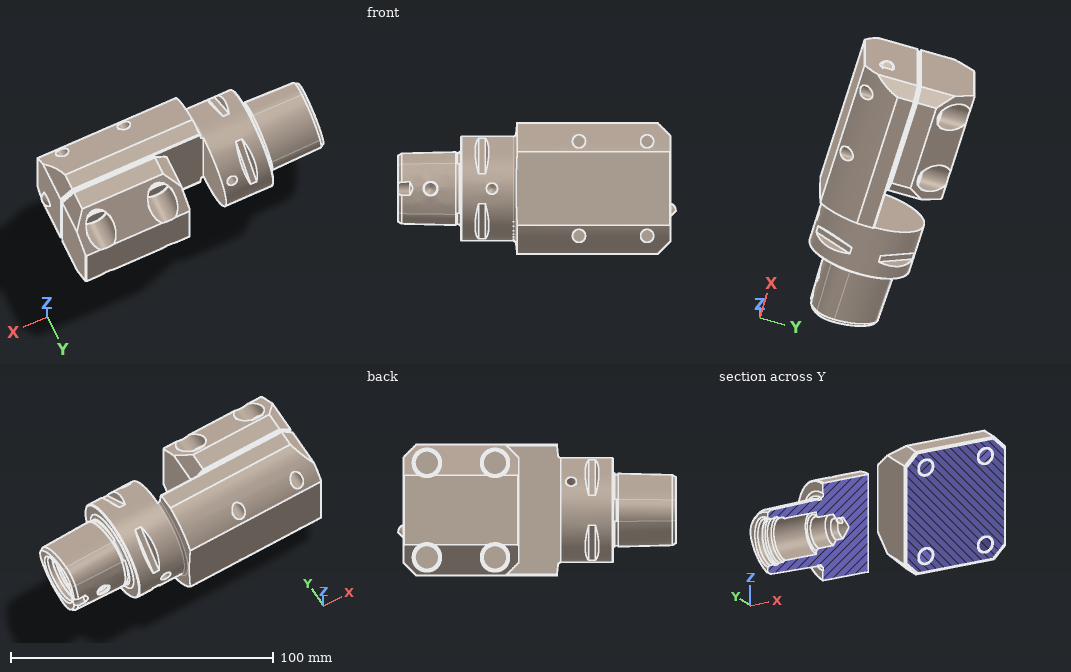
import cadquery as cq
import math

TOTAL_LENGTH = 106.0
WIDTH = 44.0
HEIGHT = 50.0
SHANK_LENGTH = 24.0
HALF_WIDTH = WIDTH / 2
HALF_HEIGHT = HEIGHT / 2
NOZZLE_TIP_X = TOTAL_LENGTH - SHANK_LENGTH

LOBE_RADIUS = 14.0
LOBE_AMPLITUDE = 0.9
SHANK_TAPER = 0.025
SHANK_BASE_GAP = 1.9
SHANK_NOSE = 1.4
SHANK_NOSE_INSET = 0.8
LOBE_SPACING = math.radians(120)
LOBE_ARC_ANGLE = math.radians(28)

UNDERCUT_INSET = 0.3
UNDERCUT_END = 0.6
RELIEF_CONE_LENGTH = 0.6
NECK_RADIUS = 14.0
NECK_FILLET = 1.1
RELIEF_RADIUS = 15.8

FLANGE_RADIUS = 40.0 / 2
FLANGE_LENGTH = 20.0
FLANGE_CHAMFER = 0.3
GRIP_X = 8.1
GRIP_FLOOR_RADIUS = 17.6
GRIP_FLOOR_WIDTH = 2.5
GRIP_MOUTH_WIDTH = 5.3
GRIP_ANGLES = (45, 135, 225, 315)

BODY_RADIUS = 26.1
BODY_START_X = 15.9
BODY_END_X = 80.0
COLLAR_FILLET = 1.0
COLLAR_X = 21.0
BODY_FACE_X = 21.5
END_CHAMFER = 5.0
EDGE_CHAMFER = 0.3

LAND_INSET = 0.5
HOLDER_LAND_Y = -0.5
HOLDER_LAND_HEIGHT = 0.3
CLAMP_LAND_Y = -0.1
CLAMP_LAND_HEIGHT = 0.6

CLAMP_START_X = 36.0
CLAMP_FLAT_HEIGHT = 26.5
CLAMP_SLOPE_Y = 8.1
CLAMP_EDGE_CHAMFER = 0.4

SCREW_FIRST_X = 45.0
SCREW_PITCH_X = 26.0
SCREW_Z = 18.0
SCREW_POSITIONS = [(SCREW_FIRST_X + i * SCREW_PITCH_X, side * SCREW_Z) for i in (0, 1) for side in (-1, 1)]
SCREW_DIAMETER = 6.0
SCREW_HEAD_DIAMETER = 10.0
SCREW_HEAD_HEIGHT = 6.0
SCREW_HEAD_TOP_Y = 10.8
SCREW_HEAD_CHAMFER = 0.4
SCREW_TIP_Y = -11.2
SCREW_HEAD_BASE_Y = SCREW_HEAD_TOP_Y - SCREW_HEAD_HEIGHT
COUNTERBORE_DIAMETER = 11.0
CLEARANCE_DIAMETER = 6.6
TAPPING_DIAMETER = 5.0

DRILL_HALF_ANGLE = math.radians(59)

MOUTH_RADIUS = 20.0 / 2
MOUTH_DEPTH = 1.0
ENTRY_RADIUS = 18.7 / 2
ENTRY_DEPTH = 3.0
GROOVE_RADIUS = 9.6
GROOVE_END = 4.2
LAND_RADIUS = 18.0 / 2
LAND_START = 4.9
LAND_END = 6.6
MAIN_RADIUS = 8.5
MAIN_START = 7.4
MAIN_DEPTH = 21.2
INNER_RADIUS = 12.5 / 2
INNER_CHAMFER = 1.0
INNER_DEPTH = 28.6
CORE_RADIUS = 8.5 / 2
CORE_DEPTH = 32.9

NOTCH_DIAMETER = 5.5
NOTCH_AXIS_Y = -13.6
NOTCH_DEPTH = 4.5
SHANK_HOLE_X = -11.6
SHANK_HOLE_DIAMETER = 5.0
SHANK_HOLE_BOTTOM_Y = -11.1
SHANK_HOLE_MOUTH_Y = -12.8
SHANK_HOLE_MOUTH_DIAMETER = 5.5
SHANK_HOLE_MOUTH_DEPTH = 0.5
FLANGE_HOLE_X = 11.9
FLANGE_HOLE_DIAMETER = 4.2
FLANGE_HOLE_BOTTOM_Y = -17.5

NOZZLE_RADIUS = 6.0 / 2
NOZZLE_Y = -13.0
NOZZLE_Z = -8.5
CHANNEL_DIAMETER = 2.5
CHANNEL_START_RADIUS = 3.4
CHANNEL_SLOPE = math.tan(math.radians(33))
OUTLET_X = 16.0
OUTLET_DIAMETER = 4.0
NOZZLE_REACH = math.hypot(NOZZLE_Y, NOZZLE_Z)
OUTLET_DIRECTION = cq.Vector(0, -NOZZLE_Y / NOZZLE_REACH, -NOZZLE_Z / NOZZLE_REACH)


def revolve_about_x(points):
    """Turn a closed outline of (x, radius) points about the X axis."""
    return cq.Workplane("XY").polyline(points).close().revolve(360, (0, 0, 0), (1, 0, 0))


def cylinder(start, end, diameter):
    axis = end - start
    return cq.Workplane(cq.Solid.makeCylinder(diameter / 2, axis.Length, start, axis))


def drill(start, end, diameter):
    """A round hole from start to end, followed by a conical drill point."""
    axis = end - start
    tip_length = diameter / 2 / math.tan(DRILL_HALF_ANGLE)
    tip = cq.Solid.makeCone(diameter / 2, 0, tip_length, end, axis)
    return cylinder(start, end, diameter).union(cq.Workplane(tip))


def lobe_point(angle, mean_radius):
    """Point of the constant-width three-lobed outline whose normal has this angle from +Y."""
    reach = mean_radius + LOBE_AMPLITUDE * math.cos(3 * angle)
    drift = -3 * LOBE_AMPLITUDE * math.sin(3 * angle)
    return (
        reach * math.cos(angle) - drift * math.sin(angle),
        reach * math.sin(angle) + drift * math.cos(angle),
    )


def lobe_wire(x, mean_radius):
    """Three tight arcs over the lobes and three wide arcs over the flanks between them."""
    outline = cq.Workplane("YZ", origin=(x, 0, 0)).moveTo(*lobe_point(-LOBE_ARC_ANGLE, mean_radius))
    for lobe in (0, 1, 2):
        lobe_axis = lobe * LOBE_SPACING
        outline = outline.threePointArc(
            lobe_point(lobe_axis, mean_radius),
            lobe_point(lobe_axis + LOBE_ARC_ANGLE, mean_radius),
        ).threePointArc(
            lobe_point(lobe_axis + LOBE_SPACING / 2, mean_radius),
            lobe_point(lobe_axis + LOBE_SPACING - LOBE_ARC_ANGLE, mean_radius),
        )
    return outline.close().val()


def make_shank():
    base_x = -SHANK_BASE_GAP
    nose_x = SHANK_NOSE - SHANK_LENGTH
    nose_radius = LOBE_RADIUS - SHANK_TAPER * (base_x - nose_x)
    base = lobe_wire(base_x, LOBE_RADIUS)
    nose = lobe_wire(nose_x, nose_radius)
    tip = lobe_wire(-SHANK_LENGTH, nose_radius - SHANK_NOSE_INSET)
    taper = cq.Workplane(cq.Solid.makeLoft([nose, base], True))
    return taper.union(cq.Workplane(cq.Solid.makeLoft([tip, nose], True)))


def make_neck():
    """Slightly smaller three-lobed stretch, followed by a round collar on the flange face."""
    undercut_radius = LOBE_RADIUS - UNDERCUT_INSET
    undercut_wires = [lobe_wire(x, undercut_radius) for x in (-SHANK_BASE_GAP, 0)]
    undercut = cq.Workplane(cq.Solid.makeLoft(undercut_wires, True))
    return undercut.union(cq.Workplane("YZ").circle(RELIEF_RADIUS).extrude(-UNDERCUT_END))


def make_relief():
    """Turned relief: a cone off the lobes, a round neck, and a fillet sunk into the flange face."""
    centre_radius = NECK_RADIUS + NECK_FILLET
    rise = RELIEF_RADIUS - centre_radius
    centre_x = -math.sqrt(NECK_FILLET**2 - rise**2)
    middle_angle = (math.asin(rise / NECK_FILLET) - math.pi / 2) / 2
    arc_middle = (
        centre_x + NECK_FILLET * math.cos(middle_angle),
        centre_radius + NECK_FILLET * math.sin(middle_angle),
    )
    return (
        cq.Workplane("XY")
        .moveTo(-SHANK_BASE_GAP, LOBE_RADIUS + LOBE_AMPLITUDE)
        .lineTo(RELIEF_CONE_LENGTH - SHANK_BASE_GAP, NECK_RADIUS)
        .lineTo(centre_x, NECK_RADIUS)
        .threePointArc(arc_middle, (0, RELIEF_RADIUS))
        .lineTo(-SHANK_BASE_GAP, RELIEF_RADIUS)
        .close()
        .revolve(360, (0, 0, 0), (1, 0, 0))
    )


def grip_groove(angle):
    """Trapezoidal groove across the flange rim, at an angle from +Y."""
    floor_half = GRIP_FLOOR_WIDTH / 2
    mouth_half = GRIP_MOUTH_WIDTH / 2
    outline = [
        (GRIP_X - floor_half, GRIP_FLOOR_RADIUS),
        (GRIP_X + floor_half, GRIP_FLOOR_RADIUS),
        (GRIP_X + mouth_half, FLANGE_RADIUS),
        (GRIP_X - mouth_half, FLANGE_RADIUS),
    ]
    groove = cq.Workplane("XY").polyline(outline).close().extrude(FLANGE_RADIUS, both=True)
    return groove.rotate((0, 0, 0), (1, 0, 0), angle)


def make_flange():
    flange = cq.Workplane("YZ").circle(FLANGE_RADIUS).extrude(FLANGE_LENGTH)
    flange = flange.edges("<X").chamfer(FLANGE_CHAMFER)
    for angle in GRIP_ANGLES:
        flange = flange.cut(grip_groove(angle))
    return flange


def chamfered_profile(start_x, end_x, half_height, chamfer, start_chamfer):
    """Outline in X and Z with sloped corners at the end, and at the start if asked for."""
    low = half_height - chamfer
    end = [(end_x - chamfer, half_height), (end_x, low), (end_x, -low), (end_x - chamfer, -half_height)]
    if start_chamfer:
        start = [
            (start_x + chamfer, -half_height),
            (start_x, -low),
            (start_x, low),
            (start_x + chamfer, half_height),
        ]
    else:
        start = [(start_x, -half_height), (start_x, half_height)]
    return end + start


def plate(outline, low_y, high_y):
    """Extrude an outline given in X and Z from low_y to high_y."""
    return cq.Workplane("XZ", origin=(0, high_y, 0)).polyline(outline).close().extrude(high_y - low_y)


def make_body_envelope():
    """Turned shape of the body: a fillet up from the flange, a slightly conical face, a cylinder."""
    bend = COLLAR_FILLET * math.sqrt(0.5)
    collar_radius = FLANGE_RADIUS + COLLAR_FILLET
    return (
        cq.Workplane("XY")
        .moveTo(BODY_START_X, 0)
        .lineTo(BODY_START_X, FLANGE_RADIUS)
        .lineTo(COLLAR_X - COLLAR_FILLET, FLANGE_RADIUS)
        .threePointArc((COLLAR_X - COLLAR_FILLET + bend, collar_radius - bend), (COLLAR_X, collar_radius))
        .lineTo(BODY_FACE_X, BODY_RADIUS)
        .lineTo(BODY_END_X, BODY_RADIUS)
        .lineTo(BODY_END_X, 0)
        .close()
        .revolve(360, (0, 0, 0), (1, 0, 0))
    )


def make_body():
    """Half-round block with a turned front, and a land on its split face."""
    shoulder_y = HOLDER_LAND_Y - HOLDER_LAND_HEIGHT
    block_outline = chamfered_profile(BODY_START_X, BODY_END_X, HALF_HEIGHT, END_CHAMFER, False)
    land_outline = chamfered_profile(
        BODY_START_X, BODY_END_X - LAND_INSET, HALF_HEIGHT - LAND_INSET, END_CHAMFER, False
    )
    block = plate(block_outline, -HALF_WIDTH, shoulder_y)
    block = block.faces("<Y").edges(">X").chamfer(EDGE_CHAMFER)
    block = block.union(plate(land_outline, shoulder_y, HOLDER_LAND_Y))
    return block.intersect(make_body_envelope())


def make_bore():
    """Stepped and grooved bore that enters from the shank end."""
    face = -SHANK_LENGTH
    cone = 1 / math.tan(DRILL_HALF_ANGLE)
    return revolve_about_x([
        (face, 0),
        (face, MOUTH_RADIUS),
        (face + MOUTH_DEPTH, ENTRY_RADIUS),
        (face + ENTRY_DEPTH, ENTRY_RADIUS),
        (face + ENTRY_DEPTH, GROOVE_RADIUS),
        (face + GROOVE_END, GROOVE_RADIUS),
        (face + LAND_START, LAND_RADIUS),
        (face + LAND_END, LAND_RADIUS),
        (face + MAIN_START, MAIN_RADIUS),
        (face + MAIN_DEPTH, MAIN_RADIUS),
        (face + MAIN_DEPTH, INNER_RADIUS + INNER_CHAMFER),
        (face + MAIN_DEPTH + INNER_CHAMFER, INNER_RADIUS),
        (face + INNER_DEPTH, INNER_RADIUS),
        (face + INNER_DEPTH + cone * (INNER_RADIUS - CORE_RADIUS), CORE_RADIUS),
        (face + CORE_DEPTH, CORE_RADIUS),
        (face + CORE_DEPTH + cone * CORE_RADIUS, 0),
    ])


def make_small_holes():
    """Orientation notch in the shank end and the blind holes of shank and flange."""
    notch = drill(
        cq.Vector(-SHANK_LENGTH, NOTCH_AXIS_Y, 0),
        cq.Vector(NOTCH_DEPTH - SHANK_LENGTH, NOTCH_AXIS_Y, 0),
        NOTCH_DIAMETER,
    )
    shank_hole = drill(
        cq.Vector(SHANK_HOLE_X, -HALF_WIDTH, 0),
        cq.Vector(SHANK_HOLE_X, SHANK_HOLE_BOTTOM_Y, 0),
        SHANK_HOLE_DIAMETER,
    )
    mouth_cone = cq.Solid.makeCone(
        SHANK_HOLE_MOUTH_DIAMETER / 2,
        SHANK_HOLE_DIAMETER / 2,
        SHANK_HOLE_MOUTH_DEPTH,
        cq.Vector(SHANK_HOLE_X, SHANK_HOLE_MOUTH_Y, 0),
        cq.Vector(0, 1, 0),
    )
    flange_hole = drill(
        cq.Vector(FLANGE_HOLE_X, -HALF_WIDTH, 0),
        cq.Vector(FLANGE_HOLE_X, FLANGE_HOLE_BOTTOM_Y, 0),
        FLANGE_HOLE_DIAMETER,
    )
    return [notch, shank_hole, cq.Workplane(mouth_cone), flange_hole]


def make_coolant_channels():
    """Two slanted channels from the end of the bore, one to the side outlet and one to the nozzle."""
    start_x = CORE_DEPTH - SHANK_LENGTH
    outlet_radius = CHANNEL_START_RADIUS + CHANNEL_SLOPE * (OUTLET_X - start_x)
    knee_x = start_x + (NOZZLE_REACH - CHANNEL_START_RADIUS) / CHANNEL_SLOPE

    def on_plane(x, radius):
        return cq.Vector(x, 0, 0) + OUTLET_DIRECTION * radius

    outlet_bottom = on_plane(OUTLET_X, outlet_radius)
    knee = on_plane(knee_x, -NOZZLE_REACH)
    nozzle_centre = on_plane(NOZZLE_TIP_X - NOZZLE_RADIUS, -NOZZLE_REACH)
    return [
        cylinder(on_plane(start_x, CHANNEL_START_RADIUS), outlet_bottom, CHANNEL_DIAMETER),
        cylinder(outlet_bottom, on_plane(OUTLET_X, BODY_RADIUS), OUTLET_DIAMETER),
        cylinder(on_plane(start_x, -CHANNEL_START_RADIUS), knee, CHANNEL_DIAMETER),
        cylinder(knee, nozzle_centre, CHANNEL_DIAMETER),
    ]


def make_nozzle():
    """Ball with a flat that slopes at 45 degrees from its foremost point."""
    centre = cq.Vector(NOZZLE_TIP_X - NOZZLE_RADIUS, NOZZLE_Y, NOZZLE_Z)
    flat_normal = cq.Vector(1, 0, -1)
    ball = cq.Solid.makeSphere(NOZZLE_RADIUS, centre, flat_normal, -90, 45, 360)
    return cq.Workplane(ball)


def make_holder(nozzle):
    root = make_neck().union(make_flange()).cut(make_relief())
    holder = make_shank().union(root).union(make_body())
    for hole in [make_bore(), *make_small_holes(), *make_coolant_channels()]:
        holder = holder.cut(hole)
    for x, z in SCREW_POSITIONS:
        tip = cq.Vector(x, SCREW_TIP_Y, z)
        holder = holder.cut(cylinder(cq.Vector(x, 0, z), tip, SCREW_DIAMETER))
        holder = holder.cut(cylinder(tip, cq.Vector(x, -BODY_RADIUS, z), TAPPING_DIAMETER))
    return holder.cut(nozzle)


def make_clamp():
    """Block with sloped flanks, chamfered ends, and counterbored screw holes."""
    shoulder_y = CLAMP_LAND_Y + CLAMP_LAND_HEIGHT
    half_flat = CLAMP_FLAT_HEIGHT / 2
    section = [
        (shoulder_y, HALF_HEIGHT),
        (CLAMP_SLOPE_Y, HALF_HEIGHT),
        (HALF_WIDTH, half_flat),
        (HALF_WIDTH, -half_flat),
        (CLAMP_SLOPE_Y, -HALF_HEIGHT),
        (shoulder_y, -HALF_HEIGHT),
    ]
    bar = cq.Workplane("YZ", origin=(CLAMP_START_X, 0, 0)).polyline(section).close()
    bar = bar.extrude(BODY_END_X - CLAMP_START_X)
    bar = bar.faces(">Y").edges("|Z").chamfer(CLAMP_EDGE_CHAMFER)
    outline = chamfered_profile(CLAMP_START_X, BODY_END_X, HALF_HEIGHT, END_CHAMFER, True)
    land_outline = chamfered_profile(
        CLAMP_START_X + LAND_INSET,
        BODY_END_X - LAND_INSET,
        HALF_HEIGHT - LAND_INSET,
        END_CHAMFER,
        True,
    )
    clamp = bar.intersect(plate(outline, shoulder_y, HALF_WIDTH))
    clamp = clamp.union(plate(land_outline, CLAMP_LAND_Y, shoulder_y))
    for x, z in SCREW_POSITIONS:
        seat = cq.Vector(x, SCREW_HEAD_BASE_Y, z)
        clamp = clamp.cut(cylinder(seat, cq.Vector(x, HALF_WIDTH, z), COUNTERBORE_DIAMETER))
        clamp = clamp.cut(cylinder(cq.Vector(x, CLAMP_LAND_Y, z), seat, CLEARANCE_DIAMETER))
    return clamp


def make_screw(x, z):
    seat = cq.Vector(x, SCREW_HEAD_BASE_Y, z)
    head = cylinder(seat, cq.Vector(x, SCREW_HEAD_TOP_Y, z), SCREW_HEAD_DIAMETER)
    head = head.faces(">Y").chamfer(SCREW_HEAD_CHAMFER)
    return head.union(cylinder(cq.Vector(x, SCREW_TIP_Y, z), seat, SCREW_DIAMETER))


nozzle = make_nozzle()
holder = make_holder(nozzle)
clamp = make_clamp()
screws = [make_screw(x, z) for x, z in SCREW_POSITIONS]

result = cq.Compound.makeCompound(
    [holder.val(), clamp.val(), nozzle.val(), *[screw.val() for screw in screws]]
)